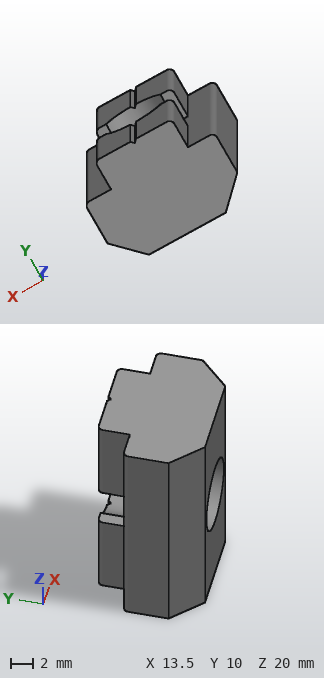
import cadquery as cq

width = 13.5
depth = 10.0
length = 20.0

neck_width = 8.0
neck_height = 3.0
edge_radius = 0.5
hole_diameter = 6.8
slot_width = 3.8

groove_depth = 0.3
groove_width = 2 * groove_depth

half_length = length / 2
back = depth / 2
shoulder = back - neck_height
bevel = (width - neck_width) / 2


def make_body():
    """Wide base with 45 degree bevels towards -Y and rounded shoulders."""
    base_height = depth - neck_height
    base = cq.Workplane("XY").box(width, base_height, length)
    base = base.translate((0, shoulder - base_height / 2, 0))
    base = base.faces("<Y").edges("|Z").chamfer(bevel)
    return base.faces(">Y").edges("|Z").fillet(edge_radius)


def make_neck():
    """Neck with rounded outer edges and a central groove."""
    neck = cq.Workplane("XY").box(neck_width, neck_height, length)
    neck = neck.translate((0, back - neck_height / 2, 0))
    neck = neck.faces(">Y").edges("|Z").fillet(edge_radius)
    groove = (
        cq.Workplane("XY", origin=(0, 0, -half_length))
        .moveTo(-groove_width / 2, back)
        .lineTo(0, back - groove_depth)
        .lineTo(groove_width / 2, back)
        .close()
        .extrude(length)
    )
    slot = cq.Workplane("XY").box(width, depth, slot_width).translate((0, back, 0))
    return neck.cut(groove).cut(slot)


hole = cq.Workplane("XZ").circle(hole_diameter / 2).extrude(depth, both=True)
result = make_body().union(make_neck()).cut(hole)